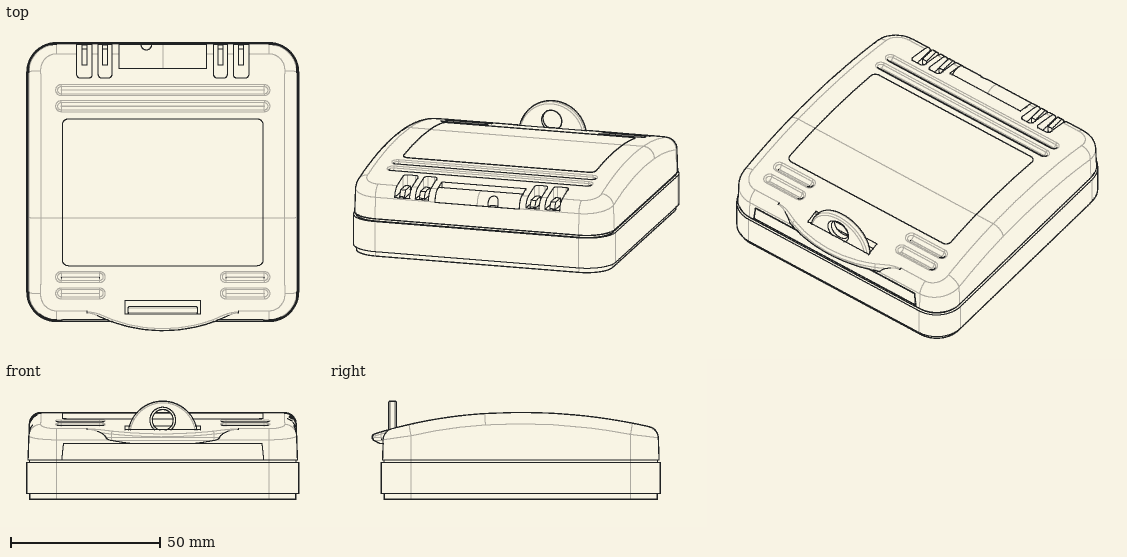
import cadquery as cq
import math

CASE_WIDTH = 91.02
CASE_LENGTH = 93.4
CORNER_RADIUS = 10.0
TOTAL_LENGTH = 96.46
TOTAL_HEIGHT = 32.87
BACK_Y = CASE_LENGTH / 2
TIP_Y = BACK_Y - TOTAL_LENGTH
OVERCUT = 5.0
SELECT_MARGIN = 1.0

FOOT_HEIGHT = 1.85
FOOT_INSET = 1.0
BASE_TOP = 12.3
SEAM_HEIGHT = 0.8
SEAM_INSET = 0.9
LID_BOTTOM = BASE_TOP + SEAM_HEIGHT
LID_INSET = 0.4
LID_DRAFT = 2.0
LID_EDGE_FILLET = 4.0
RIM_LOWEST_Z = 19.0

DOME_PEAK = 29.1
REAR_DOME_RADIUS = 195.0
FRONT_DOME_RADIUS = 155.0
DOME_JOIN_Y = -12.1
DOME_END_Y = BACK_Y + 2 * OVERCUT

LABEL_WIDTH = 67.2
LABEL_BACK_Y = 21.1
LABEL_FRONT_Y = -28.0
LABEL_CORNER_RADIUS = 2.0
LABEL_DEPTH = 0.1

GROOVE_WIDTH = 2.7
GROOVE_FLOOR_FILLET = 1.3
GROOVE_DEPTH = 1.2
GROOVE_EDGE_FILLET = 0.7
GROOVE_RIM_BAND = 0.7
GROOVE_OUTER_X = 35.3
REAR_GROOVE_YS = (30.8, 25.4)
FRONT_GROOVE_YS = (-31.8, -37.3)
FRONT_GROOVE_INNER_X = 19.8

HINGE_WIDTH = 29.4
BARREL_RADIUS = LID_EDGE_FILLET
BARREL_SETBACK = 0.75
BARREL_Y = BACK_Y - BARREL_SETBACK - BARREL_RADIUS
PIN_NOTCH_X = -5.5
PIN_NOTCH_RADIUS = 1.75
HINGE_SLOTS = ((19.3, 4.6), (26.2, 5.2))
HINGE_SLOT_LENGTH = 11.9
HINGE_SLOT_FLOOR = 21.0
SLOT_RIB_WIDTH = 1.7
SLOT_RIB_LENGTH = 7.5
SLOT_RIB_TOP = 23.5
SLOT_RIB_SETBACK = 0.8
HINGE_SLOT_CORNER_RADIUS = 1.2

LIP_RADIUS = 50.0
LIP_HALF_CHORD = 17.2
LIP_HALF_WIDTH = 25.4
LIP_ROOT_Y = -44.2
LIP_EDGE_FILLET = 1.0
LIP_BOTTOM = 18.6
LIP_UNDERCUT_HEIGHT = 1.4
LIP_UNDERCUT_DEPTH = 2.6
LIP_BACK_Y = -40.0

PANEL_TOP_HALF_WIDTH = 33.2
PANEL_BOTTOM_HALF_WIDTH = 33.8
PANEL_DEPTH = 0.4

TAB_RADIUS = 11.6
TAB_THICKNESS = 2.6
TAB_FRONT_Y = -44.2
TAB_EDGE_FILLET = 0.6
TAB_HOLE_DIAMETER = 7.0
TAB_HOLE_CHAMFER = 0.8
TAB_HOLE_Z = 26.5
TAB_SLOT_WIDTH = 25.4
TAB_SLOT_LENGTH = 4.6
TAB_BASE_Z = TOTAL_HEIGHT - TAB_RADIUS


def arc_height(y, center, radius):
    """Height of a circular arc above a given Y."""
    center_y, center_z = center
    return center_z + math.sqrt(radius**2 - (y - center_y) ** 2)


REAR_DOME_CENTER = (0.0, DOME_PEAK - REAR_DOME_RADIUS)
DOME_JOIN_Z = arc_height(DOME_JOIN_Y, REAR_DOME_CENTER, REAR_DOME_RADIUS)
RADIUS_RATIO = FRONT_DOME_RADIUS / REAR_DOME_RADIUS
FRONT_DOME_CENTER = (
    DOME_JOIN_Y * (1 - RADIUS_RATIO),
    DOME_JOIN_Z - (DOME_JOIN_Z - REAR_DOME_CENTER[1]) * RADIUS_RATIO,
)


def dome_z(y):
    """Height of the domed top above a given Y."""
    if y > DOME_JOIN_Y:
        return arc_height(y, REAR_DOME_CENTER, REAR_DOME_RADIUS)
    return arc_height(y, FRONT_DOME_CENTER, FRONT_DOME_RADIUS)


BARREL_Z = arc_height(BARREL_Y, REAR_DOME_CENTER, REAR_DOME_RADIUS - BARREL_RADIUS)


def dome_point(y, drop=0.0):
    """Y and Z of a point on the dome, or a given drop below it."""
    return (y, dome_z(y) - drop)


def under_dome(width, drop=0.0):
    """Block of the given width that fills everything below the dome."""
    front_y = -DOME_END_Y
    rear_middle_y = (DOME_END_Y + DOME_JOIN_Y) / 2
    front_middle_y = (front_y + DOME_JOIN_Y) / 2
    return (
        cq.Workplane("YZ")
        .moveTo(DOME_END_Y, 0)
        .lineTo(*dome_point(DOME_END_Y, drop))
        .threePointArc(dome_point(rear_middle_y, drop), dome_point(DOME_JOIN_Y, drop))
        .threePointArc(dome_point(front_middle_y, drop), dome_point(front_y, drop))
        .lineTo(front_y, 0)
        .close()
        .extrude(width / 2, both=True)
    )


def case_layer(bottom, top, inset, draft=0.0):
    """Rounded rectangular layer, inset from the case outline."""
    outline = (
        cq.Sketch()
        .rect(CASE_WIDTH - 2 * inset, CASE_LENGTH - 2 * inset)
        .vertices()
        .fillet(CORNER_RADIUS - inset)
    )
    plane = cq.Workplane("XY").workplane(offset=bottom)
    return plane.placeSketch(outline).extrude(top - bottom, taper=draft)


def make_base():
    """Foot, base wall and the recessed seam that carries the lid."""
    foot = case_layer(0, FOOT_HEIGHT, FOOT_INSET)
    base = case_layer(FOOT_HEIGHT, BASE_TOP, 0)
    seam = case_layer(BASE_TOP, LID_BOTTOM, SEAM_INSET)
    return foot.union(base).union(seam)


def make_lid():
    """Drafted lid with a domed top and a rounded rim."""
    lid = case_layer(LID_BOTTOM, DOME_PEAK + OVERCUT, LID_INSET, LID_DRAFT)
    lid = lid.intersect(under_dome(2 * CASE_WIDTH))
    around_rim = cq.selectors.BoxSelector(
        (-CASE_WIDTH, -CASE_LENGTH, RIM_LOWEST_Z),
        (CASE_WIDTH, CASE_LENGTH, DOME_PEAK + OVERCUT),
        boundingbox=True,
    )
    return lid.edges(around_rim).fillet(LID_EDGE_FILLET)


def make_lip():
    """Thumb lip that carries the dome surface out past the front wall."""
    center_y = TIP_Y + LIP_RADIUS
    blend_y = center_y - math.sqrt(LIP_RADIUS**2 - LIP_HALF_CHORD**2)
    blend_direction = (center_y - blend_y, LIP_HALF_CHORD)
    plan = (
        cq.Workplane("XY")
        .workplane(offset=LIP_BOTTOM)
        .moveTo(-LIP_HALF_CHORD, blend_y)
        .threePointArc((0, TIP_Y), (LIP_HALF_CHORD, blend_y))
        .spline([(LIP_HALF_WIDTH, LIP_ROOT_Y)], tangents=[blend_direction, (1, 0)], includeCurrent=True)
        .lineTo(LIP_HALF_WIDTH, LIP_BACK_Y)
        .lineTo(-LIP_HALF_WIDTH, LIP_BACK_Y)
        .lineTo(-LIP_HALF_WIDTH, LIP_ROOT_Y)
        .spline(
            [(-LIP_HALF_CHORD, blend_y)],
            tangents=[(1, 0), (blend_direction[0], -blend_direction[1])],
            includeCurrent=True,
        )
        .close()
        .extrude(DOME_PEAK)
    )
    around_bottom_edge = cq.selectors.BoxSelector(
        (-LIP_HALF_WIDTH - OVERCUT, TIP_Y - OVERCUT, LIP_BOTTOM - OVERCUT),
        (LIP_HALF_WIDTH + OVERCUT, LIP_ROOT_Y + SELECT_MARGIN, LIP_BOTTOM + SELECT_MARGIN),
        boundingbox=True,
    )
    lip = plan.edges(around_bottom_edge).chamfer(LIP_UNDERCUT_HEIGHT, LIP_UNDERCUT_DEPTH)
    lip = lip.intersect(under_dome(2 * CASE_WIDTH))
    around_top_edge = cq.selectors.BoxSelector(
        (-LIP_HALF_WIDTH - OVERCUT, TIP_Y - OVERCUT, LIP_BOTTOM + LIP_UNDERCUT_HEIGHT),
        (LIP_HALF_WIDTH + OVERCUT, LIP_ROOT_Y + SELECT_MARGIN, DOME_PEAK),
        boundingbox=True,
    )
    return lip.edges(around_top_edge).fillet(LIP_EDGE_FILLET)


def cut_label(case):
    """Shallow rounded rectangle that follows the dome."""
    label_center_y = (LABEL_BACK_Y + LABEL_FRONT_Y) / 2
    plan = (
        cq.Workplane("XY")
        .workplane(offset=BASE_TOP)
        .center(0, label_center_y)
        .rect(LABEL_WIDTH, LABEL_BACK_Y - LABEL_FRONT_Y)
        .extrude(DOME_PEAK)
        .edges("|Z")
        .fillet(LABEL_CORNER_RADIUS)
    )
    return case.cut(plan.cut(under_dome(2 * CASE_WIDTH, LABEL_DEPTH)))


def groove_cutter(x_start, x_end, y):
    """Round-ended slot with a rounded floor, sunk into the dome."""
    return (
        cq.Workplane("XY")
        .workplane(offset=dome_z(y) - GROOVE_DEPTH)
        .center((x_start + x_end) / 2, y)
        .slot2D(x_end - x_start, GROOVE_WIDTH)
        .extrude(OVERCUT)
        .faces("<Z")
        .edges()
        .fillet(GROOVE_FLOOR_FILLET)
    )


def groove_spans():
    """Start X, end X and Y of every groove."""
    for y in REAR_GROOVE_YS:
        yield -GROOVE_OUTER_X, GROOVE_OUTER_X, y
    for y in FRONT_GROOVE_YS:
        yield -GROOVE_OUTER_X, -FRONT_GROOVE_INNER_X, y
        yield FRONT_GROOVE_INNER_X, GROOVE_OUTER_X, y


def cut_grooves(case):
    """Cut each groove and round its rim."""
    for x_start, x_end, y in groove_spans():
        case = case.cut(groove_cutter(x_start, x_end, y), clean=False)
        around_rim = cq.selectors.BoxSelector(
            (x_start - GROOVE_WIDTH, y - GROOVE_WIDTH, dome_z(y) - GROOVE_RIM_BAND),
            (x_end + GROOVE_WIDTH, y + GROOVE_WIDTH, DOME_PEAK),
            boundingbox=True,
        )
        case = case.edges(around_rim).fillet(GROOVE_EDGE_FILLET)
    return case


def block(x_size, y_min, y_max, z_min, z_max, x_center=0.0):
    """Box centred on x_center and placed by its Y and Z limits."""
    box = cq.Workplane("XY").box(x_size, y_max - y_min, z_max - z_min)
    return box.translate((x_center, (y_min + y_max) / 2, (z_min + z_max) / 2))


def add_hinge_barrel(case):
    """Barrel that continues the rounded rear edge, bared by a notch in front of it."""
    notch = block(HINGE_WIDTH, BARREL_Y - BARREL_RADIUS, BACK_Y + OVERCUT, BARREL_Z, DOME_PEAK)
    barrel = (
        cq.Workplane("YZ")
        .center(BARREL_Y, BARREL_Z)
        .circle(BARREL_RADIUS)
        .extrude(HINGE_WIDTH / 2, both=True)
    )
    pin_notch = (
        cq.Workplane("XY")
        .workplane(offset=BARREL_Z)
        .center(PIN_NOTCH_X, BARREL_Y + BARREL_RADIUS)
        .circle(PIN_NOTCH_RADIUS)
        .extrude(BARREL_RADIUS)
    )
    return case.cut(notch).union(barrel).cut(pin_notch)


def cut_hinge_slots(case):
    """Round-ended slots open at the back wall, each with a low central rib."""
    for side in (-1, 1):
        for offset, width in HINGE_SLOTS:
            x = side * offset
            end_y = BACK_Y - HINGE_SLOT_LENGTH
            slot = block(width, end_y, BACK_Y + OVERCUT, HINGE_SLOT_FLOOR, DOME_PEAK, x)
            slot = slot.edges("|Z and <Y").fillet(HINGE_SLOT_CORNER_RADIUS)
            rib_back_y = BACK_Y - SLOT_RIB_SETBACK
            rib = block(
                SLOT_RIB_WIDTH, BACK_Y - SLOT_RIB_LENGTH, rib_back_y, BASE_TOP, SLOT_RIB_TOP, x
            )
            case = case.cut(slot.cut(rib))
    return case


def cut_front_panel(case):
    """Shallow trapezoidal recess in the front wall under the lip."""
    panel = (
        cq.Workplane("XZ")
        .workplane(offset=BACK_Y - LID_INSET - PANEL_DEPTH)
        .moveTo(-PANEL_BOTTOM_HALF_WIDTH, LID_BOTTOM)
        .lineTo(-PANEL_TOP_HALF_WIDTH, LIP_BOTTOM)
        .lineTo(PANEL_TOP_HALF_WIDTH, LIP_BOTTOM)
        .lineTo(PANEL_BOTTOM_HALF_WIDTH, LID_BOTTOM)
        .close()
        .extrude(PANEL_DEPTH + OVERCUT)
    )
    return case.cut(panel)


def add_latch_tab(case):
    """Round-topped upright tab with a chamfered hole, standing in a slot."""
    slot = block(TAB_SLOT_WIDTH, TAB_FRONT_Y, TAB_FRONT_Y + TAB_SLOT_LENGTH, TAB_BASE_Z, DOME_PEAK)
    tab = (
        cq.Workplane("XZ")
        .workplane(offset=-TAB_FRONT_Y - TAB_THICKNESS)
        .center(0, TAB_BASE_Z)
        .circle(TAB_RADIUS)
        .extrude(TAB_THICKNESS)
        .edges()
        .fillet(TAB_EDGE_FILLET)
        .faces("<Y")
        .workplane(origin=(0, TAB_FRONT_Y, TAB_HOLE_Z))
        .hole(TAB_HOLE_DIAMETER)
    )
    hole_edge = cq.selectors.NearestToPointSelector((0, TAB_FRONT_Y, TAB_HOLE_Z))
    tab = tab.edges(hole_edge).chamfer(TAB_HOLE_CHAMFER)
    upper_half = block(2 * TAB_RADIUS, TAB_FRONT_Y, TAB_FRONT_Y + TAB_THICKNESS, TAB_BASE_Z, TOTAL_HEIGHT)
    return case.cut(slot).union(tab.intersect(upper_half))


lid = make_lid().union(make_lip())
lid = cut_label(lid)
lid = cut_grooves(lid)
lid = add_hinge_barrel(lid)
lid = cut_hinge_slots(lid)
lid = cut_front_panel(lid)
lid = add_latch_tab(lid)
result = make_base().union(lid)